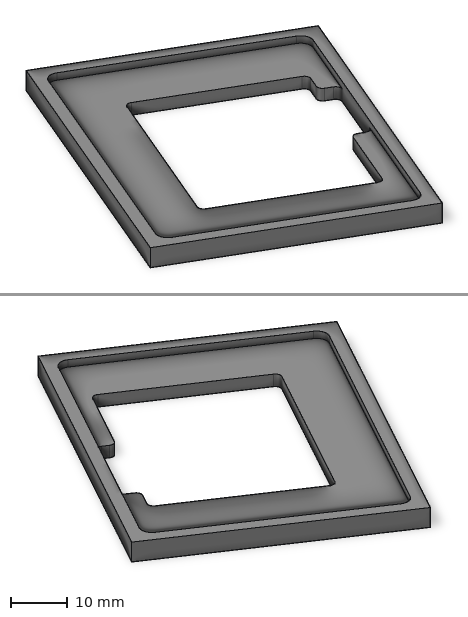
import cadquery as cq

length = 70.0
width = 54.0
thickness = 4.0

rim = 2.5
recess_depth = 1.5
recess_corner_radius = 2.3

window_left = -20.45
window_right = 21.5
window_bottom = -13.5
window_top_left = 20.45
window_top_right = 20.65
window_corner_radius = 1.2

notch_left = -15.0
notch_right = 2.95
notch_top = width / 2 - rim


def make_plate():
    return cq.Workplane("XY").box(length, width, thickness, centered=(True, True, False))


def make_recess():
    return (
        cq.Workplane("XY")
        .workplane(offset=thickness - recess_depth)
        .rect(length - 2 * rim, width - 2 * rim)
        .extrude(recess_depth)
        .edges("|Z")
        .fillet(recess_corner_radius)
    )


def make_window():
    outline = [
        (window_left, window_bottom),
        (window_right, window_bottom),
        (window_right, window_top_right),
        (notch_right, window_top_right),
        (notch_right, notch_top),
        (notch_left, notch_top),
        (notch_left, window_top_left),
        (window_left, window_top_left),
    ]
    return (
        cq.Workplane("XY")
        .polyline(outline)
        .close()
        .extrude(thickness)
        .edges("|Z")
        .fillet(window_corner_radius)
    )


result = make_plate().cut(make_recess()).cut(make_window())